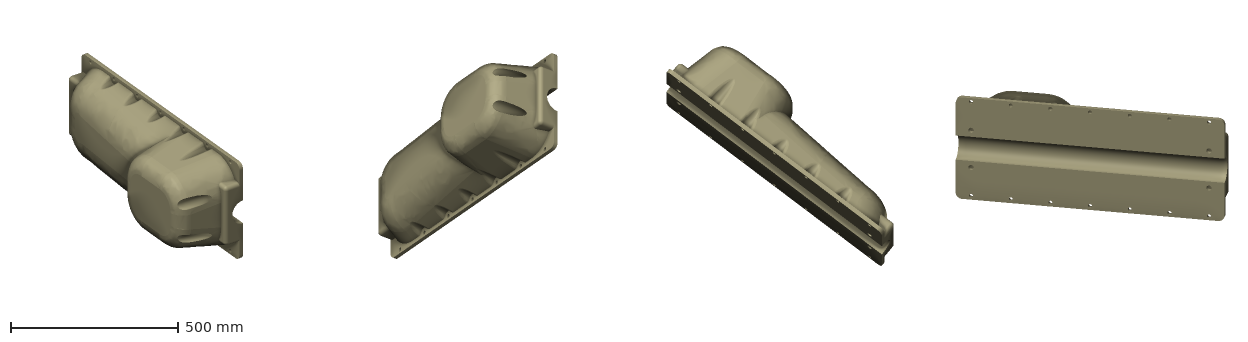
import cadquery as cq
import math

LENGTH = 823.0
HEIGHT = 332.0
DEPTH = 204.0

FLANGE_THICKNESS = 13.0
FLANGE_CORNER_RADIUS = 20.0

BOLT_SPAN = 728.0
BOLT_Z = 153.0
BOLT_DIAMETER = 12.0
BOLTS_PER_ROW = 7
BOLT_PITCH = BOLT_SPAN / (BOLTS_PER_ROW - 1)
SPOTFACE_DIAMETER = 35.0
SCALLOP_EDGE_RADIUS = 12.0

RIM_HALF_HEIGHT = 153.0
RIM_CORNER_RADIUS = 101.0

TROUGH_X_MIN = -400.0
TROUGH_X_MAX = 165.0
TROUGH_DRAFT = math.tan(math.radians(20))
TROUGH_FLOOR_X = -301.0
TROUGH_FLOOR_DEPTH = 113.5
TROUGH_FLOOR_SLOPE = 0.086
TROUGH_FLOOR_FILLET = 100.0

SUMP_X_MIN = 39.5
SUMP_X_MAX = 399.0
SUMP_DRAFT = math.tan(math.radians(10))
SUMP_FLOOR_FILLET = 50.0

BLOCK_HALF_HEIGHT = 102.0
BLOCK_DEPTH = 65.0
BLOCK_LENGTH = 74.0
BLOCK_FILLET = 12.0
BLOCK_BOLT_Z = 61.0
BLOCK_BOLT_DIAMETER = 16.5

TOLERANCE = 0.1

CHANNEL_RADIUS = 39.5


def along_minus_y(depth):
    """Workplane at the given depth below the mounting face, facing -Y."""
    return cq.Workplane("XZ", origin=(0, -depth, 0))


def make_cylinders(points, diameter, start_depth):
    """Cylinders along Y at the given (x, z) points, from start_depth past the deepest floor."""
    return along_minus_y(start_depth).pushPoints(points).circle(diameter / 2).extrude(DEPTH)


def make_flange():
    plate = along_minus_y(0).rect(LENGTH, HEIGHT).extrude(FLANGE_THICKNESS)
    return plate.edges("|Y").fillet(FLANGE_CORNER_RADIUS)


def make_drafted_body(x_min, x_max, body_depth, draft):
    """Rounded block from the mounting face to full depth, its walls leaning inwards."""

    def outline(depth):
        inset = draft * (depth - FLANGE_THICKNESS)
        length = x_max - x_min - 2 * inset
        height = 2 * (RIM_HALF_HEIGHT - inset)
        rounded = cq.Sketch().rect(length, height).vertices().fillet(RIM_CORNER_RADIUS)
        return rounded.moved(cq.Location(cq.Vector((x_min + x_max) / 2, 0, depth)))

    return along_minus_y(0).placeSketch(outline(0), outline(body_depth)).loft(ruled=True)


def make_sump():
    body = make_drafted_body(SUMP_X_MIN, SUMP_X_MAX, DEPTH, SUMP_DRAFT)
    return body.faces("<Y").edges().fillet(SUMP_FLOOR_FILLET)


def trough_depth(x):
    """Depth of the sloping trough floor at the given X."""
    return TROUGH_FLOOR_DEPTH + TROUGH_FLOOR_SLOPE * (x - TROUGH_FLOOR_X)


def make_trough():
    """Drafted body cut to the sloping floor; its square inner end lies inside the sump."""
    full_depth = trough_depth(TROUGH_X_MAX)
    body = make_drafted_body(TROUGH_X_MIN, SUMP_X_MAX, full_depth, TROUGH_DRAFT)
    side_profile = [
        (TROUGH_X_MIN - FLANGE_THICKNESS, 0),
        (TROUGH_X_MAX, 0),
        (TROUGH_X_MAX, -full_depth),
        (TROUGH_X_MIN - FLANGE_THICKNESS, -trough_depth(TROUGH_X_MIN - FLANGE_THICKNESS)),
    ]
    envelope = cq.Workplane("XY").polyline(side_profile).close().extrude(HEIGHT, both=True)
    floor_point = (0, -trough_depth(0), 0)
    floor = body.intersect(envelope).faces(cq.selectors.NearestToPointSelector(floor_point))
    return floor.edges("not >X").fillet(TROUGH_FLOOR_FILLET)


def cut_scallop(body, x, z):
    """Clear one bolt head out of a wall and round the edge where the relief leaves it."""
    relieved = body.cut(make_cylinders([(x, z)], SPOTFACE_DIAMETER, 0))

    def is_relief_edge(edge):
        middle = edge.positionAt(0.5)
        axis_distance = math.hypot(middle.x - x, middle.z - z)
        on_relief = abs(axis_distance - SPOTFACE_DIAMETER / 2) < TOLERANCE
        return on_relief and middle.y < -TOLERANCE

    return relieved.edges().filter(is_relief_edge).fillet(SCALLOP_EDGE_RADIUS)


def make_end_block(side):
    block = (
        along_minus_y(0)
        .center(side * (LENGTH - BLOCK_LENGTH) / 2, 0)
        .rect(BLOCK_LENGTH, 2 * BLOCK_HALF_HEIGHT)
        .extrude(BLOCK_DEPTH)
    )
    return block.edges("|Y or <Y").fillet(BLOCK_FILLET)


bolt_columns = [i * BOLT_PITCH - BOLT_SPAN / 2 for i in range(BOLTS_PER_ROW)]
rim_bolts = [(x, z) for x in bolt_columns for z in (-BOLT_Z, BOLT_Z)]
block_bolts = [(x, z) for x in (bolt_columns[0], bolt_columns[-1]) for z in (-BLOCK_BOLT_Z, BLOCK_BOLT_Z)]

trough = make_trough()
sump = make_sump()
for z in (-BOLT_Z, BOLT_Z):
    for x in bolt_columns[1:5]:
        trough = cut_scallop(trough, x, z)
    for x in bolt_columns[4:6]:
        sump = cut_scallop(sump, x, z)

pan = trough.union(sump)
for side in (-1, 1):
    pan = pan.union(make_end_block(side))
pan = pan.cut(make_cylinders(rim_bolts + block_bolts, SPOTFACE_DIAMETER, 0))

channel = cq.Workplane("YZ").circle(CHANNEL_RADIUS).extrude(LENGTH, both=True)
result = (
    pan.union(make_flange())
    .cut(make_cylinders(rim_bolts, BOLT_DIAMETER, 0))
    .cut(make_cylinders(block_bolts, BLOCK_BOLT_DIAMETER, 0))
    .cut(channel)
)